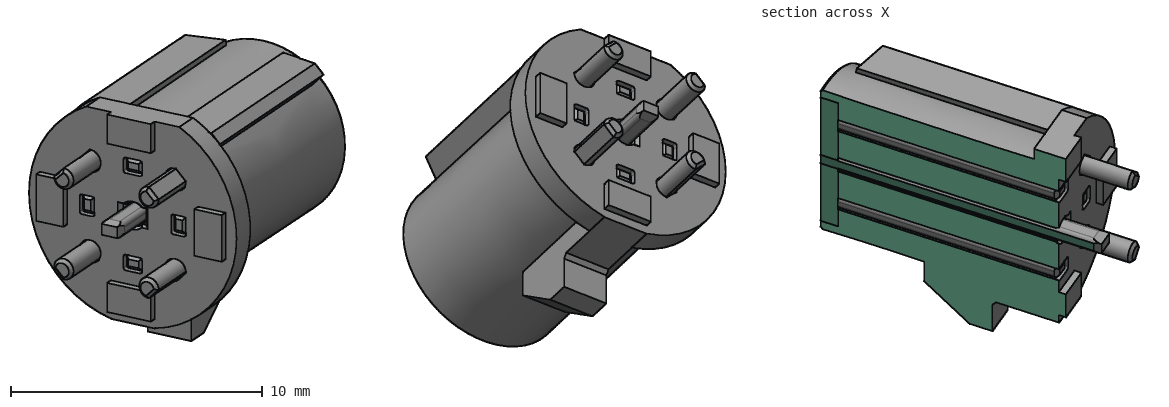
import cadquery as cq
import math


overall_length = 12.75
overall_height = 10.5
tail_length = 2.25
mating_end = overall_length - tail_length

flange_diameter = 9.5
flange_thickness = 1.1
flange_top = 4.25
flange_bottom = 4.65

barrel_radius = 3.76
barrel_root_radius = 3.72
barrel_chamfer = 0.1

rib_inner_x = 1.31
rib_reach = 4.75
rib_end_gap = 0.83
rib_end_slope = 0.3
rib_root = 1.91

hook_width = 2.0
hook_front = 2.93
hook_back = 5.95
hook_toe = 3.94
hook_ramp_start = 4.75
hook_bottom = overall_height - flange_top
hook_relief_length = 0.15
hook_relief_drop = 0.2
hook_root = 2.55

pad_width = 2.0
pad_inner = 3.0
pad_thickness = 0.3

pin_circle_radius = 2.75
pin_radius = 0.45
pin_flat = pin_radius * math.cos(math.radians(45))
pin_chamfer = 0.14
pin_clearance = 0.04
pin_angles = (45, 135, 225, 315)

blade_circle_radius = 2.09
blade_hole_width = 0.85
blade_hole_height = 0.68
blade_hole_corner = 0.11
blade_clearance = 0.03
blade_corner = 0.2
blade_recess = 0.05
blade_chamfer = 0.17
blade_angles = (0, 90, 180, 270)

carrier_radius = 3.32
carrier_thickness = 0.76

centre_width = 0.85
centre_height = 0.65
centre_corner = 0.2
centre_tip = 1.85
centre_taper_length = 0.42
centre_tip_width = 0.7
centre_tip_height = 0.47
funnel_depth = 0.15
slot_width = 1.06
slot_height = 0.7
slot_bore_radius = 0.51
funnel_flare = 0.15
bore_flare = 0.09


def section(y):
    """Workplane across the axis at Y = y, with local axes X and Z; extrudes toward -Y."""
    return cq.Workplane("XZ", origin=(0, y, 0))


def prism(start, end, sketch):
    """Extrude the outline made by sketch(workplane) from Y = start up to Y = end."""
    return sketch(section(end)).extrude(end - start)


def cylinder(start, end, radius):
    return prism(start, end, lambda plane: plane.circle(radius))


def flatten(rod, flat_height, bevel=0):
    """Cut a flat on the +Z side of a rod, with an optional 45 degree bevel where it meets the -Y end."""
    bounds = rod.val().BoundingBox()
    side_profile = [
        (bounds.ymin + bevel, flat_height),
        (bounds.ymax, flat_height),
        (bounds.ymax, bounds.zmax),
        (bounds.ymin, bounds.zmax),
    ]
    if bevel > 0:
        side_profile.append((bounds.ymin, flat_height - bevel))
    return rod.cut(cq.Workplane("YZ").polyline(side_profile).close().extrude(bounds.xmax, both=True))


def about_axis(body, angle):
    """Turn a body made at +Z about Y."""
    return body.rotate((0, 0, 0), (0, 1, 0), angle)


def flange():
    disc = cylinder(0, flange_thickness, flange_diameter / 2)
    band_height = flange_top + flange_bottom
    band_middle = (flange_top - flange_bottom) / 2
    band = prism(
        0,
        flange_thickness,
        lambda plane: plane.center(0, band_middle).rect(flange_diameter, band_height),
    )
    return disc.intersect(band)


def barrel():
    profile = [
        (0, 0),
        (0, barrel_root_radius),
        (mating_end - barrel_chamfer, barrel_radius),
        (mating_end, barrel_radius - barrel_chamfer),
        (mating_end, 0),
    ]
    return cq.Workplane("YZ").polyline(profile).close().revolve(360, (0, 0, 0), (1, 0, 0))


def guide_rib():
    """Rib on the +X shoulder: level top, 45 degree outer face, radial underside."""
    outer_edge = rib_reach / math.sqrt(2)
    outline = [
        (rib_inner_x, rib_root),
        (rib_inner_x, barrel_radius),
        (2 * outer_edge - barrel_radius, barrel_radius),
        (outer_edge, outer_edge),
        (rib_root, rib_root),
    ]
    rib_end = mating_end - rib_end_gap
    bar = prism(flange_thickness, mating_end, lambda plane: plane.polyline(outline).close())

    end_at_axis = rib_end + rib_end_slope * barrel_radius
    end_at_limit = rib_end - rib_end_slope * barrel_radius
    keep = (
        cq.Workplane("YZ")
        .polyline([(0, 0), (end_at_axis, 0), (end_at_limit, 2 * barrel_radius), (0, 2 * barrel_radius)])
        .close()
        .extrude(barrel_radius, both=True)
    )
    return bar.intersect(about_axis(keep, 45))


def snap_hook():
    profile = [
        (0, -hook_root),
        (hook_back, -hook_root),
        (hook_back, -hook_ramp_start),
        (hook_toe, -hook_bottom),
        (hook_front, -hook_bottom),
        (hook_front, -flange_bottom - hook_relief_drop),
        (hook_front - hook_relief_length, -flange_bottom),
        (0, -flange_bottom),
    ]
    return cq.Workplane("YZ").polyline(profile).close().extrude(hook_width / 2, both=True)


def standoff_pad():
    pad_height = flange_top - pad_inner
    pad_middle = (flange_top + pad_inner) / 2
    return prism(-pad_thickness, 0, lambda plane: plane.center(0, pad_middle).rect(pad_width, pad_height))


def centre_hole():
    slot = prism(0, mating_end, lambda plane: plane.rect(slot_width, slot_height))
    bore = cylinder(0, mating_end, slot_bore_radius)
    slot_funnel = (
        section(0)
        .rect(slot_width + 2 * funnel_flare, slot_height + 2 * bore_flare)
        .workplane(offset=-funnel_depth)
        .rect(slot_width, slot_height)
        .loft()
    )
    bore_funnel = (
        section(0)
        .circle(slot_bore_radius + bore_flare)
        .workplane(offset=-funnel_depth)
        .circle(slot_bore_radius)
        .loft()
    )
    return slot.union(bore).union(slot_funnel).union(bore_funnel)


def round_hole():
    rod = cylinder(0, mating_end, pin_radius + pin_clearance)
    return flatten(rod, pin_flat + pin_clearance).translate((0, 0, pin_circle_radius))


def blade_hole():
    hole = prism(0, mating_end, lambda plane: plane.rect(blade_hole_width, blade_hole_height))
    return hole.edges("|Y").fillet(blade_hole_corner).translate((0, 0, blade_circle_radius))


def make_housing():
    body = flange().union(barrel()).union(snap_hook())
    rib = guide_rib()
    body = body.union(rib).union(rib.mirror("YZ"))
    for angle in blade_angles:
        body = body.union(about_axis(standoff_pad(), angle))
        body = body.cut(about_axis(blade_hole(), angle))
    for angle in pin_angles:
        body = body.cut(about_axis(round_hole(), angle))
    seat = cylinder(mating_end - carrier_thickness, mating_end, carrier_radius)
    return body.cut(centre_hole()).cut(seat)


def round_contact():
    rod = cylinder(-tail_length, mating_end, pin_radius).faces("<Y").chamfer(pin_chamfer)
    return flatten(rod, pin_flat, pin_chamfer).translate((0, 0, pin_circle_radius))


def blade_contact():
    width = blade_hole_width - 2 * blade_clearance
    height = blade_hole_height - 2 * blade_clearance
    blade = prism(blade_recess, mating_end, lambda plane: plane.rect(width, height))
    rounded = blade.edges("|Y").fillet(blade_corner)
    bevelled = blade.faces("<Y").chamfer(blade_chamfer)
    return rounded.intersect(bevelled).translate((0, 0, blade_circle_radius))


def make_contact_carrier():
    """Disc with the eight outer contacts."""
    seat_floor = mating_end - carrier_thickness
    carrier = cylinder(seat_floor, mating_end, carrier_radius)
    for angle in pin_angles:
        carrier = carrier.union(about_axis(round_contact(), angle))
    for angle in blade_angles:
        carrier = carrier.union(about_axis(blade_contact(), angle))
    return carrier.cut(centre_bar())


def centre_bar():
    bar = prism(-centre_tip, mating_end, lambda plane: plane.rect(centre_width, centre_height))
    return bar.edges("|Y").fillet(centre_corner)


def make_centre_contact():
    taper_start = centre_taper_length - centre_tip
    shank = prism(taper_start, mating_end, lambda plane: plane.rect(centre_width, centre_height))
    tip = (
        section(taper_start)
        .rect(centre_width, centre_height)
        .workplane(offset=centre_taper_length)
        .rect(centre_tip_width, centre_tip_height)
        .loft()
    )
    return centre_bar().intersect(shank.union(tip))


housing = make_housing()
contact_carrier = make_contact_carrier()
centre_contact = make_centre_contact()

result = cq.Compound.makeCompound([housing.val(), contact_carrier.val(), centre_contact.val()])